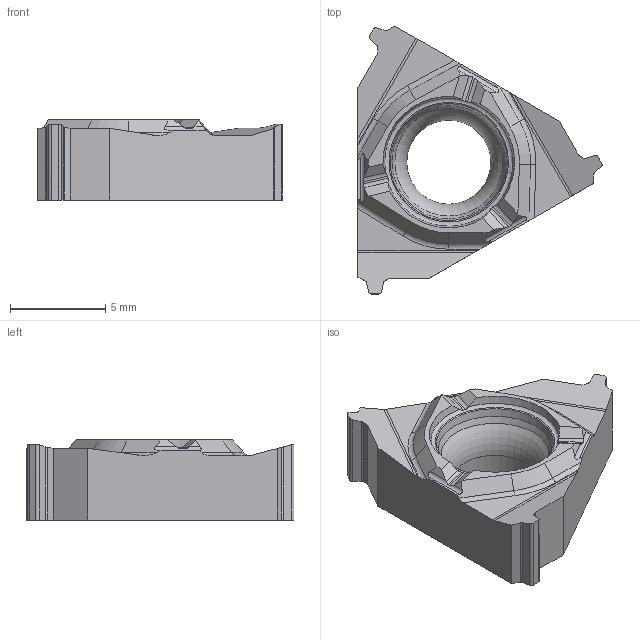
import cadquery as cq
import math

CORNERS = 3
CORNER_STEP = 360 / CORNERS
FAR = 20.0

total_height = 4.2
floor_height = 3.39

inscribed_diameter = 9.525
side_distance = inscribed_diameter / 2
nose_distance = 6.08
tip_distance = 6.905
shoulder_start = 6.02
shoulder_angle = 30.0
tooth_flank_angle = 12.0
tooth_centre = -3.865
tooth_root_distance = 6.27
tooth_root_half_width = 0.455
tooth_tip_radius = 0.14
tooth_root_radius = 0.15

ramp_angle = 15.0
ramp_start = 4.68
ramp_blend_radius = 0.53

boss_top_distance = 3.7
boss_flank_angle = 49.5
boss_arc_angle = 31.7
boss_foot_radius = 0.37

hole_radius = 4.4 / 2
bore_top = 1.29
seat_mouth = (2.83, 2.9)
seat_wall_foot = (2.98, 3.24)
seat_wall_top = (3.07, 3.66)
ledge_inner = (3.13, 3.7)
ledge_middle = (3.27, 3.72)
rim_foot = (3.36, 3.8)
rim_top = (3.45, total_height)

groove_direction = 193.0
groove_offset = 0.05
groove_floor_height = 3.73
groove_top_half_width = 0.74
groove_floor_half_width = 0.17
groove_floor_radius = 0.33

relief_height = 3.67
relief_land = 0.12
relief_wall_foot = (0.34, 3.84)
relief_wall_top = 0.53
relief_length = 4.0
relief_middle = -0.75


def sin(angle):
    return math.sin(math.radians(angle))


def cos(angle):
    return math.cos(math.radians(angle))


def tan(angle):
    return math.tan(math.radians(angle))


def turned(point, angle):
    """Point turned about the centre."""
    x, y = point
    return (x * cos(angle) - y * sin(angle), x * sin(angle) + y * cos(angle))


def at_each_corner(shape):
    """The shape and its copies at the other corners, as one workplane object."""
    copies = shape
    for index in range(1, CORNERS):
        copies = copies.union(shape.rotate((0, 0, 0), (0, 0, 1), index * CORNER_STEP))
    return copies


def make_outline_prism():
    """Full-height prism of the outline, with rounded tooth roots and tips."""
    tooth_height = tip_distance - tooth_root_distance
    tip_half_width = tooth_root_half_width - tooth_height * tan(tooth_flank_angle)
    roots = [(tooth_centre + side * tooth_root_half_width, -tooth_root_distance) for side in (-1, 1)]
    tips = [(tooth_centre + side * tip_half_width, -tip_distance) for side in (-1, 1)]
    shoulder_run = (tooth_root_distance - nose_distance) / tan(shoulder_angle)
    nose_start = (roots[1][0] + shoulder_run, -nose_distance)
    next_side_normal = 180 + CORNER_STEP
    nose_end_x = (side_distance + nose_distance * sin(next_side_normal)) / cos(next_side_normal)
    nose_end = (nose_end_x, -nose_distance)
    corner = [(-side_distance, -shoulder_start), roots[0], *tips, roots[1], nose_start, nose_end]

    angles = [index * CORNER_STEP for index in range(CORNERS)]
    points = [turned(point, angle) for angle in angles for point in corner]
    prism = cq.Workplane("XY").polyline(points).close().extrude(total_height)
    for rounded, radius in ((roots, tooth_root_radius), (tips, tooth_tip_radius)):
        for point in rounded:
            for angle in angles:
                middle = (*turned(point, angle), total_height / 2)
                prism = prism.edges(cq.selectors.NearestToPointSelector(middle)).fillet(radius)
    return prism


def make_boss():
    """Tapered boss: pairs of flat flanks joined by conical arcs, with a filleted foot."""
    boss_height = total_height - floor_height
    foot_distance = boss_top_distance + boss_height / tan(boss_flank_angle)
    flat_gap = CORNER_STEP - boss_arc_angle
    flat_length = foot_distance * tan(flat_gap / 2)
    arc_start = -90 - boss_arc_angle
    sketch = cq.Workplane("XY").workplane(offset=floor_height)
    sketch = sketch.moveTo(*turned((foot_distance, 0), arc_start))
    for index in range(CORNERS):
        start = arc_start + index * CORNER_STEP
        arc_middle = turned((foot_distance, 0), start + boss_arc_angle / 2)
        arc_end = turned((foot_distance, 0), start + boss_arc_angle)
        meeting = turned((foot_distance, flat_length), start + boss_arc_angle)
        next_arc = turned((foot_distance, 0), start + CORNER_STEP)
        sketch = sketch.threePointArc(arc_middle, arc_end).lineTo(*meeting).lineTo(*next_arc)
    boss = sketch.close().extrude(boss_height, taper=90 - boss_flank_angle)

    slab = cq.Workplane("XY").rect(FAR, FAR).extrude(floor_height)
    reach = 0.45 * FAR
    margin = 0.01
    foot = cq.selectors.BoxSelector(
        (-reach, -reach, floor_height - margin),
        (reach, reach, floor_height + margin),
    )
    return slab.union(boss).edges(foot).fillet(boss_foot_radius)


def make_ramps():
    """Wedges on the floor, blended into it by a tangent arc."""
    blend = ramp_blend_radius * tan(ramp_angle / 2)
    blend_start = ramp_start - blend
    blend_middle = (
        -blend_start - ramp_blend_radius * sin(ramp_angle / 2),
        floor_height + ramp_blend_radius * (1 - cos(ramp_angle / 2)),
    )
    blend_end = (-ramp_start - blend * cos(ramp_angle), floor_height + blend * sin(ramp_angle))
    ramp_end = FAR / 2
    ramp_end_height = floor_height + (ramp_end - ramp_start) * tan(ramp_angle)
    ramp = (
        cq.Workplane("YZ")
        .moveTo(-blend_start, floor_height)
        .threePointArc(blend_middle, blend_end)
        .lineTo(-ramp_end, ramp_end_height)
        .lineTo(-ramp_end, 0)
        .lineTo(-blend_start, 0)
        .close()
        .extrude(tip_distance, both=True)
    )
    return at_each_corner(ramp)


def make_screw_hole():
    """Bore that flares like a trumpet into a stepped seat."""
    flare_width = seat_mouth[0] - hole_radius
    flare_height = seat_mouth[1] - bore_top
    flare_radius = (flare_width**2 + flare_height**2) / (2 * flare_width)
    half_sweep = math.degrees(math.asin(flare_height / flare_radius)) / 2
    flare_middle = (
        hole_radius + flare_radius * (1 - cos(half_sweep)),
        bore_top + flare_radius * sin(half_sweep),
    )
    return (
        cq.Workplane("XZ")
        .lineTo(hole_radius, 0)
        .lineTo(hole_radius, bore_top)
        .threePointArc(flare_middle, seat_mouth)
        .lineTo(*seat_wall_foot)
        .lineTo(*seat_wall_top)
        .lineTo(*ledge_inner)
        .threePointArc(ledge_middle, rim_foot)
        .lineTo(*rim_top)
        .lineTo(0, total_height)
        .close()
        .revolve(360, (0, 0, 0), (0, 1, 0))
    )


def make_grooves():
    """V grooves with a rounded floor, running outwards from the screw hole."""
    groove = (
        cq.Workplane("YZ")
        .moveTo(-groove_top_half_width, total_height)
        .lineTo(-groove_floor_half_width, groove_floor_height)
        .lineTo(groove_floor_half_width, groove_floor_height)
        .lineTo(groove_top_half_width, total_height)
        .close()
        .extrude(FAR / 2)
        .edges("|X and (not >Z)")
        .fillet(groove_floor_radius)
    )
    groove = groove.translate((0, groove_offset, 0))
    return at_each_corner(groove.rotate((0, 0, 0), (0, 0, 1), groove_direction))


def make_reliefs():
    """Stepped cut along each long side: narrow land, hollow, then a steep wall."""
    wall_foot_inset, wall_foot_height = relief_wall_foot
    relief = (
        cq.Workplane("XZ")
        .moveTo(-side_distance, relief_height)
        .lineTo(-side_distance + relief_land, relief_height)
        .tangentArcPoint((-side_distance + wall_foot_inset, wall_foot_height), relative=False)
        .lineTo(-side_distance + relief_wall_top, total_height)
        .lineTo(-side_distance, total_height)
        .close()
        .extrude(relief_length / 2, both=True)
    )
    return at_each_corner(relief.translate((0, relief_middle, 0)))


body = make_boss().union(make_ramps()).intersect(make_outline_prism())
result = body.cut(make_screw_hole()).cut(make_grooves()).cut(make_reliefs())